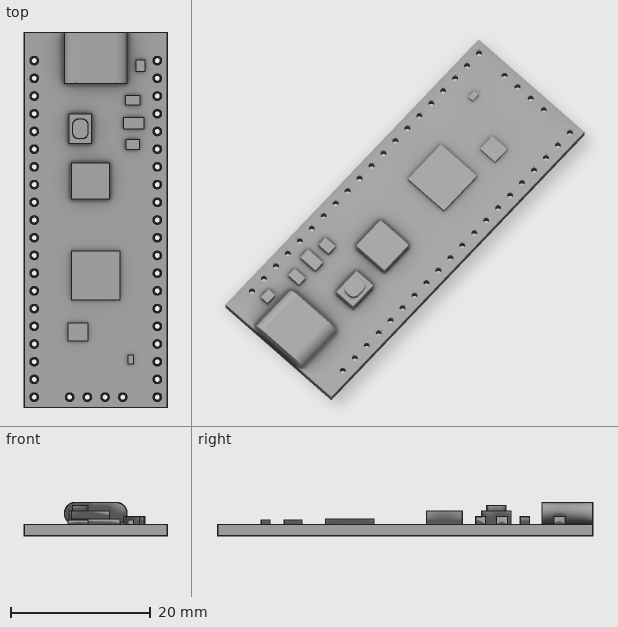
import cadquery as cq

BOARD_WIDTH = 20.55
BOARD_LENGTH = 53.75
BOARD_THICKNESS = 1.6
OVERALL_HEIGHT = 4.8
BOARD_BACK = BOARD_LENGTH / 2

HOLE_DIAMETER = 0.85
PAD_DIAMETER = 1.25
PAD_DEPTH = 0.025
COLUMN_X = 8.8
COLUMN_HOLES = 20
COLUMN_SPAN = 48.2
HOLE_PITCH = COLUMN_SPAN / (COLUMN_HOLES - 1)
BACK_MARGIN = 4.05
FIRST_HOLE_Y = BOARD_BACK - BACK_MARGIN
LAST_HOLE_Y = FIRST_HOLE_Y - COLUMN_SPAN
ROW_HOLES = 4
ROW_OFFSET_PITCHES = 2
ROW_START_X = -COLUMN_X + ROW_OFFSET_PITCHES * HOLE_PITCH

SOCKET_WIDTH = 9.0
SOCKET_LENGTH = 7.3
SOCKET_HEIGHT = OVERALL_HEIGHT - BOARD_THICKNESS
SOCKET_CORNER_RADIUS = 1.55

BUTTON_X = -2.2
BUTTON_Y = 13.05
BUTTON_WIDTH = 3.2
BUTTON_LENGTH = 4.25
BUTTON_HEIGHT = 1.95
CAP_WIDTH = 2.25
CAP_LENGTH = 2.8
CAP_HEIGHT = 0.8
CAP_CORNER_RADIUS = 0.9

COMPONENTS = {
    "regulator": (-0.75, 5.6, 5.5, 5.15, 1.95),
    "processor": (0.0, -7.95, 7.0, 7.0, 0.8),
    "memory": (-2.5, -16.05, 2.9, 2.6, 0.65),
    "back capacitor": (6.4, 22.1, 1.3, 1.6, 1.15),
    "upper capacitor": (5.3, 17.15, 2.1, 1.35, 1.15),
    "middle capacitor": (5.45, 13.85, 2.9, 1.6, 1.15),
    "lower capacitor": (5.25, 10.8, 1.95, 1.45, 1.15),
    "indicator": (5.0, -20.0, 0.8, 1.3, 0.65),
}


def block(x, y, width, length, height):
    """Rectangular body standing on the board."""
    body = cq.Workplane("XY").box(width, length, height, centered=(True, True, False))
    return body.translate((x, y, BOARD_THICKNESS))


def hole_positions():
    """Centres of every pin hole."""
    points = []
    for i in range(COLUMN_HOLES):
        y = FIRST_HOLE_Y - i * HOLE_PITCH
        points.append((-COLUMN_X, y))
        points.append((COLUMN_X, y))
    for i in range(ROW_HOLES):
        points.append((ROW_START_X + i * HOLE_PITCH, LAST_HOLE_Y))
    return points


def board():
    """Flat board with its pin holes, each in a shallow round pad recess."""
    plate = cq.Workplane("XY").box(
        BOARD_WIDTH, BOARD_LENGTH, BOARD_THICKNESS, centered=(True, True, False)
    )
    top = plate.faces(">Z").workplane(origin=(0, 0, 0))
    return top.pushPoints(hole_positions()).cboreHole(HOLE_DIAMETER, PAD_DIAMETER, PAD_DEPTH)


def usb_socket():
    """Round-sided socket, flush with the back edge of the board."""
    y = BOARD_BACK - SOCKET_LENGTH / 2
    shell = block(0, y, SOCKET_WIDTH, SOCKET_LENGTH, SOCKET_HEIGHT)
    return shell.edges("|Y").fillet(SOCKET_CORNER_RADIUS)


def push_button():
    """Button housing with its cap on top."""
    housing = block(BUTTON_X, BUTTON_Y, BUTTON_WIDTH, BUTTON_LENGTH, BUTTON_HEIGHT)
    cap = block(BUTTON_X, BUTTON_Y, CAP_WIDTH, CAP_LENGTH, BUTTON_HEIGHT + CAP_HEIGHT)
    return housing.union(cap.edges("|Z").fillet(CAP_CORNER_RADIUS))


result = board().union(usb_socket()).union(push_button())
for size_and_place in COMPONENTS.values():
    result = result.union(block(*size_and_place))